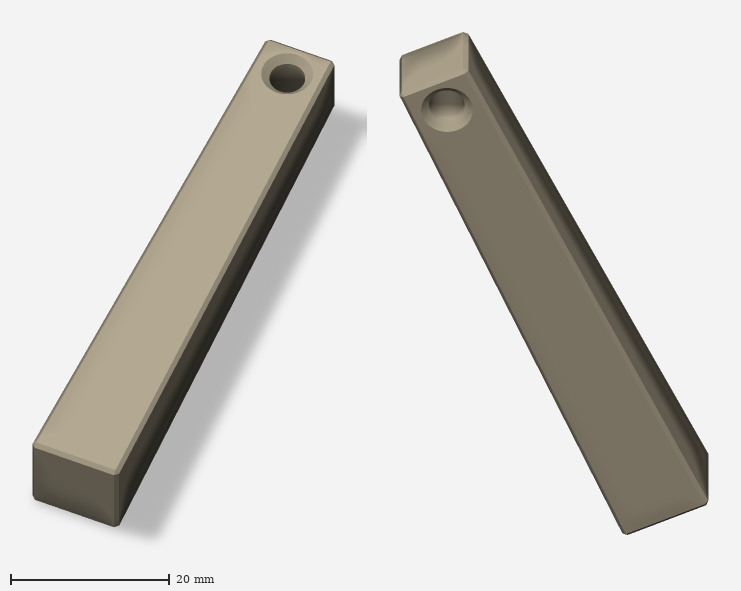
import cadquery as cq

length = 72.0
wide_side = 11.95
narrow_side = 9.5
edge_chamfer = 0.5

hole_diameter = 4.5
sink_diameter = 6.55
hole_from_end = 4.5
sink_depth = (sink_diameter - hole_diameter) / 2


def tapered_bar():
    """Square bar centred on the origin, chamfered along every edge."""
    bar = (
        cq.Workplane("XZ", origin=(0, -length / 2, 0))
        .rect(wide_side, wide_side)
        .workplane(offset=-length)
        .rect(narrow_side, narrow_side)
        .loft(ruled=True)
    )
    return bar.edges().chamfer(edge_chamfer)


def countersunk_hole():
    """Cutter for the through hole and its two conical mouths."""
    hole_y = length / 2 - hole_from_end
    hole_taper = (wide_side - narrow_side) * hole_from_end / length
    face_height = (narrow_side + hole_taper) / 2
    cutter_top = wide_side / 2
    hole_radius = hole_diameter / 2
    mouth_radius = hole_radius + sink_depth + cutter_top - face_height
    half_profile = [
        (0, -cutter_top),
        (mouth_radius, -cutter_top),
        (hole_radius, sink_depth - face_height),
        (hole_radius, face_height - sink_depth),
        (mouth_radius, cutter_top),
        (0, cutter_top),
    ]
    return (
        cq.Workplane("XZ", origin=(0, hole_y, 0))
        .polyline(half_profile)
        .close()
        .revolve(360, (0, 0, 0), (0, 1, 0))
    )


result = tapered_bar().cut(countersunk_hole())